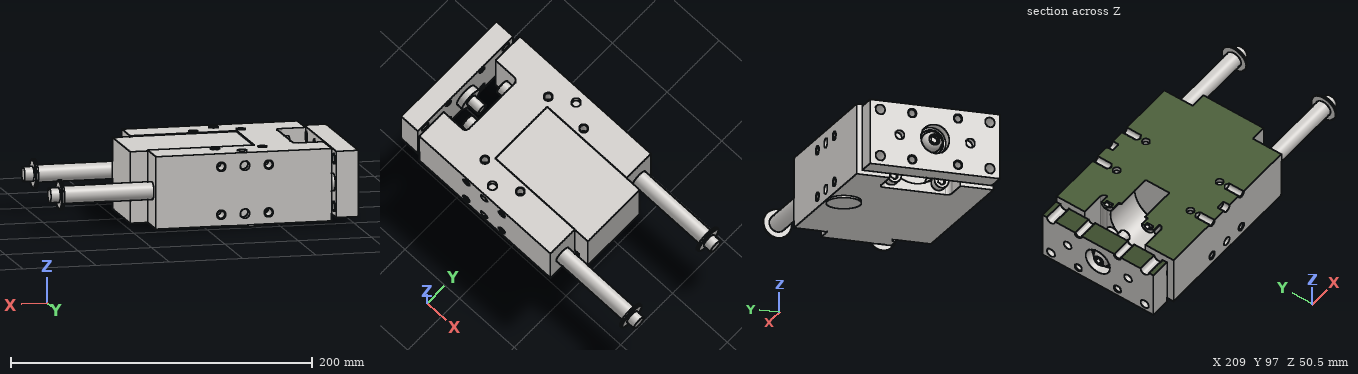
import cadquery as cq
import math


PLATE_LENGTH = 15.3
PLATE_WIDTH = 92.0
PLATE_HEIGHT = 45.0

HOUSING_FRONT = 19.0
HOUSING_LENGTH = 120.0
HOUSING_REAR = HOUSING_FRONT + HOUSING_LENGTH
HOUSING_WIDTH = 97.0
HOUSING_TOP = 25.0
HOUSING_BOTTOM = -24.0

SLOT_WIDTH = 50.0
SLOT_DEPTH = 20.3
SLOT_BACK = HOUSING_FRONT + SLOT_DEPTH
SLOT_CORNER_RADIUS = 3.1
BORE_DIAMETER = 37.6

BLOCK_FRONT = 66.3
BLOCK_REAR = 151.0
BLOCK_WIDTH = SLOT_WIDTH
BLOCK_DROP = 0.6
BLOCK_TOP = HOUSING_TOP - BLOCK_DROP

NOTCH_RADIUS = 3.8
NOTCH_HEIGHT = 6.7
CABLE_SLOT_LENGTH = 1.5
CABLE_SLOT_HEIGHT = 3.3
CABLE_SLOT_DEPTH = 8.4

ROD_DIAMETER = 12.0
ROD_SPACING = 74.0
WASHER_DIAMETER = 20.0
WASHER_FRONT = 200.8
WASHER_THICKNESS = 1.9
WASHER_CHAMFER = 0.6
OVERALL_LENGTH = 209.0

COVER_DIAMETER = 23.5
COVER_THICKNESS = 1.5
COVER_X = 75.2
COVER_Y = (HOUSING_WIDTH - COVER_DIAMETER) / 2

HEAD_DIAMETER = 10.0
SLOT_HEAD_LENGTH = 6.5
SLOT_HEAD_SPACING = 33.5
SOCKET_ACROSS_FLATS = 5.0
SOCKET_DEPTH = 3.0

COUNTERBORE_DIAMETER = 20.0
COUNTERBORE_DEPTH = 7.0
FLANGE_DIAMETER = 17.0
FLANGE_LENGTH = 5.0
STUD_DIAMETER = 8.0
STUD_LENGTH = 10.0
SEAT_GROOVE_DEPTH = 0.6
DOME_DIAMETER = 14.2
DOME_FLAT_DIAMETER = 7.5
DOME_HEIGHT = 5.9

TAPPED_DIAMETER = 5.0
TAPPED_MOUTH_DIAMETER = 6.0
TAPPED_DEPTH = 12.0
DOWEL_DIAMETER = 6.3
DOWEL_DEPTH = 5.0
CORNER_HOLE_DIAMETER = 6.7
HOLE_PITCH = 32.4
PATTERN_X = 78.2
PLATE_CORNER_SPACING = 77.5
PLATE_DOWEL_SPACING = SLOT_WIDTH
TOP_TAPPED_SPACING = 61.0
TOP_DOWEL_SPACING = 80.7
DRILL_POINT_ANGLE = 118.0

SIDES = (-1, 1)


def box(x_start, x_end, width, z_bottom, z_top):
    """A box centred on Y = 0."""
    return cq.Workplane("XY").box(
        x_end - x_start, width, z_top - z_bottom, centered=(False, True, False)
    ).translate((x_start, 0, z_bottom))


def cylinder(start, direction, diameter, length):
    solid = cq.Solid.makeCylinder(diameter / 2, length, cq.Vector(*start), cq.Vector(*direction))
    return cq.Workplane(solid)


def x_cylinder(x_start, x_end, diameter, y=0.0, z=0.0):
    return cylinder((x_start, y, z), (1, 0, 0), diameter, x_end - x_start)


def cone(start, direction, start_diameter, end_diameter, length):
    start_radius = start_diameter / 2
    end_radius = end_diameter / 2
    solid = cq.Solid.makeCone(start_radius, end_radius, length, cq.Vector(*start), cq.Vector(*direction))
    return cq.Workplane(solid)


def hex_socket(x, y=0.0, z=0.0):
    """Socket cutter that opens toward -X and has two flats parallel to Z."""
    across_corners = SOCKET_ACROSS_FLATS / math.cos(math.pi / 6)
    return (
        cq.Workplane("YZ", origin=(x, y, z))
        .transformed(rotate=(0, 0, 90))
        .polygon(6, across_corners)
        .extrude(SOCKET_DEPTH)
    )


def grid(first_spacing, second_spacing):
    """Corners of a rectangle centred on the origin."""
    return [(i * first_spacing / 2, j * second_spacing / 2) for i in SIDES for j in SIDES]


def tapped_mouth(mouth, inward):
    """Countersink of a tapped hole, with 45 degree sides."""
    depth = (TAPPED_MOUTH_DIAMETER - TAPPED_DIAMETER) / 2
    return cone(mouth, inward, TAPPED_MOUTH_DIAMETER, TAPPED_DIAMETER, depth)


def blind_tapped_hole(mouth, inward):
    """Tapped hole with a countersunk mouth and a drill point."""
    point_length = TAPPED_DIAMETER / 2 / math.tan(math.radians(DRILL_POINT_ANGLE / 2))
    bottom = [m + d * TAPPED_DEPTH for m, d in zip(mouth, inward)]
    hole = cylinder(mouth, inward, TAPPED_DIAMETER, TAPPED_DEPTH)
    hole = hole.union(cone(bottom, inward, TAPPED_DIAMETER, 0, point_length))
    return hole.union(tapped_mouth(mouth, inward))




def cut_front_slot(body):
    slot = box(HOUSING_FRONT, SLOT_BACK, SLOT_WIDTH, HOUSING_BOTTOM, HOUSING_TOP)
    slot = slot.edges("|Z and >X").fillet(SLOT_CORNER_RADIUS)
    return body.cut(slot).cut(x_cylinder(SLOT_BACK, BLOCK_FRONT, BORE_DIAMETER))


def add_rear_block(body):
    recess = box(BLOCK_FRONT, HOUSING_REAR, BLOCK_WIDTH, BLOCK_TOP, HOUSING_TOP)
    extension = box(HOUSING_REAR, BLOCK_REAR, BLOCK_WIDTH, HOUSING_BOTTOM, BLOCK_TOP)
    return body.cut(recess).union(extension)


def cut_cable_notch(body):
    """Quarter-round notch in the -Y face of the rear block, with a small slot in its wall."""
    block_side = -BLOCK_WIDTH / 2
    notch = cylinder((HOUSING_REAR, block_side, HOUSING_BOTTOM), (0, 0, 1), 2 * NOTCH_RADIUS, NOTCH_HEIGHT)
    behind_housing = box(HOUSING_REAR, BLOCK_REAR, HOUSING_WIDTH, HOUSING_BOTTOM, HOUSING_TOP)
    slot_top = HOUSING_BOTTOM + NOTCH_HEIGHT
    cable_slot = cq.Workplane("XY").box(
        CABLE_SLOT_LENGTH, CABLE_SLOT_DEPTH, CABLE_SLOT_HEIGHT, centered=False
    ).translate((HOUSING_REAR, block_side, slot_top - CABLE_SLOT_HEIGHT))
    return body.cut(notch.intersect(behind_housing)).cut(cable_slot)


def cut_housing_holes(body):
    for side in SIDES:
        face_y = side * HOUSING_WIDTH / 2
        inward = (0, -side, 0)
        for dx, z in grid(HOLE_PITCH, HOLE_PITCH):
            body = body.cut(blind_tapped_hole((PATTERN_X + dx, face_y, z), inward))
        for z in (-HOLE_PITCH / 2, HOLE_PITCH / 2):
            body = body.cut(cylinder((PATTERN_X, face_y, z), inward, DOWEL_DIAMETER, DOWEL_DEPTH))
        top_dowel = (PATTERN_X, side * TOP_DOWEL_SPACING / 2, HOUSING_TOP)
        body = body.cut(cylinder(top_dowel, (0, 0, -1), DOWEL_DIAMETER, DOWEL_DEPTH))
    for dx, y in grid(HOLE_PITCH, TOP_TAPPED_SPACING):
        body = body.cut(blind_tapped_hole((PATTERN_X + dx, y, HOUSING_TOP), (0, 0, -1)))
    return body


def add_slot_screw_heads(body):
    head_front = SLOT_BACK - SLOT_HEAD_LENGTH
    for y, z in grid(SLOT_HEAD_SPACING, SLOT_HEAD_SPACING):
        head = x_cylinder(head_front, SLOT_BACK, HEAD_DIAMETER, y, z)
        body = body.union(head.cut(hex_socket(head_front, y, z)))
    return body


def make_housing():
    body = box(HOUSING_FRONT, HOUSING_REAR, HOUSING_WIDTH, HOUSING_BOTTOM, HOUSING_TOP)
    body = cut_front_slot(body)
    body = add_rear_block(body)
    body = cut_cable_notch(body)
    for side in SIDES:
        body = body.cut(x_cylinder(HOUSING_FRONT, HOUSING_REAR, ROD_DIAMETER, side * ROD_SPACING / 2))
    body = cut_housing_holes(body)
    body = add_slot_screw_heads(body)
    cover = cylinder((COVER_X, COVER_Y, HOUSING_BOTTOM), (0, 0, -1), COVER_DIAMETER, COVER_THICKNESS)
    return body.union(cover)




def make_guide_rod(y):
    """Rod with its washer and end head, starting at the back of the plate."""
    washer_rear = WASHER_FRONT + WASHER_THICKNESS
    washer = x_cylinder(WASHER_FRONT, washer_rear, WASHER_DIAMETER, y)
    washer = washer.edges(">X").chamfer(WASHER_CHAMFER)
    rod = x_cylinder(PLATE_LENGTH, WASHER_FRONT, ROD_DIAMETER, y)
    return rod.union(washer).union(x_cylinder(washer_rear, OVERALL_LENGTH, HEAD_DIAMETER, y))


def cut_plate_holes(plate):
    into_plate = (1, 0, 0)
    for y, z in grid(PLATE_CORNER_SPACING, HOLE_PITCH):
        plate = plate.cut(x_cylinder(0, PLATE_LENGTH, CORNER_HOLE_DIAMETER, y, z))
    for y, z in grid(HOLE_PITCH, HOLE_PITCH):
        plate = plate.cut(x_cylinder(0, PLATE_LENGTH, TAPPED_DIAMETER, y, z))
        plate = plate.cut(tapped_mouth((0, y, z), into_plate))
    for side in SIDES:
        mouth = (0, side * PLATE_DOWEL_SPACING / 2, 0)
        plate = plate.cut(cylinder(mouth, into_plate, DOWEL_DIAMETER, DOWEL_DEPTH))
    return plate


def make_domed_head():
    """Button head on the counterbore floor: a spherical side, a flat end and a hex socket."""
    base_radius = DOME_DIAMETER / 2
    flat_radius = DOME_FLAT_DIAMETER / 2
    centre_offset = (base_radius**2 - flat_radius**2 - DOME_HEIGHT**2) / (2 * DOME_HEIGHT)
    sphere_radius = math.hypot(base_radius, centre_offset)
    flat_x = COUNTERBORE_DEPTH - DOME_HEIGHT
    sphere = cq.Workplane("XY").sphere(sphere_radius).rotate((0, 0, 0), (0, 1, 0), 90)
    sphere = sphere.translate((COUNTERBORE_DEPTH + centre_offset, 0, 0))
    head = sphere.intersect(x_cylinder(flat_x, COUNTERBORE_DEPTH, DOME_DIAMETER))
    return head.cut(hex_socket(flat_x))


def add_centre_bolt(plate):
    groove_floor = COUNTERBORE_DEPTH + SEAT_GROOVE_DEPTH
    flange_rear = PLATE_LENGTH + FLANGE_LENGTH
    plate = plate.cut(x_cylinder(0, COUNTERBORE_DEPTH, COUNTERBORE_DIAMETER))
    plate = plate.cut(x_cylinder(COUNTERBORE_DEPTH, groove_floor, FLANGE_DIAMETER))
    plate = plate.union(x_cylinder(COUNTERBORE_DEPTH, groove_floor, DOME_DIAMETER))
    plate = plate.union(make_domed_head())
    plate = plate.union(x_cylinder(PLATE_LENGTH, flange_rear, FLANGE_DIAMETER))
    return plate.union(x_cylinder(flange_rear, flange_rear + STUD_LENGTH, STUD_DIAMETER))


def make_slide():
    body = box(0, PLATE_LENGTH, PLATE_WIDTH, -PLATE_HEIGHT / 2, PLATE_HEIGHT / 2)
    body = cut_plate_holes(body)
    body = add_centre_bolt(body)
    for side in SIDES:
        body = body.union(make_guide_rod(side * ROD_SPACING / 2))
    return body


housing = make_housing()
slide = make_slide()

result = cq.Compound.makeCompound([housing.val(), slide.val()])